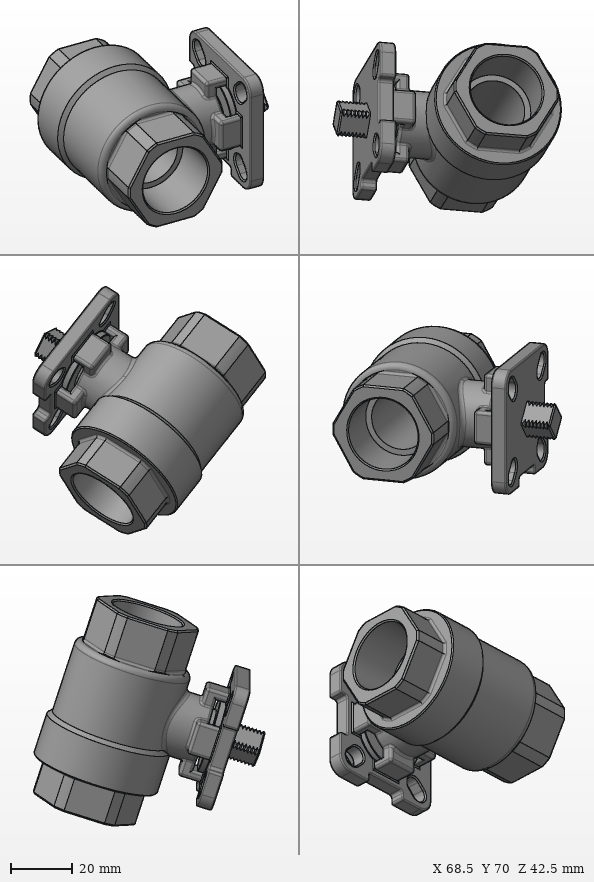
import cadquery as cq
import math


left_end = -36.4
right_end = 32.1
collar_left = -24.0
collar_right = -9.95
collar_radius = 42.5 / 2
body_right = 17.15
body_radius = 19.8
body_edge_round = 2.1
collar_edge_chamfer = 0.4

hex_across_flats = 32.1
hex_corner_radius = 17.5
hex_end_chamfer = 0.55
hex_root_fillet = 0.9

bore_radius = 10.0
socket_radius = 12.05
socket_depth = 17.5
socket_chamfer = 0.5

neck_radius = 11.0
neck_top = 29.75
neck_root_fillet = 1.55
neck_edge_round = 0.9
gland_radius = 8.0
disc_radius = 13.0
disc_bottom = 31.2
disc_edge_chamfer = 0.2
disc_root_flare = 0.2

plate_side = 42.15
plate_bottom = 33.6
plate_top = 38.8
plate_corner_radius = 5.05
plate_edge_round = 0.5
slot_centre = 14.2
slot_width = 6.0
slot_travel = 3.0
slot_edge_chamfer = 0.5
notch_half_width = 7.6
notch_depth = 3.35
notch_inner_round = 1.05
notch_outer_round = 0.85

arm_reach = 15.5
arm_start = 6.8
arm_inner = 12.3
arm_width = 11.3
arm_bottom = 25.6
arm_edge_round = 1.05
arm_root_flare = 0.4
arm_neck_fillet = 0.9

overall_height = 70.0
stem_top = overall_height - collar_radius
stem_radius = 6.0
stem_across_flats = 9.0
stem_chamfer = 0.5
thread_pitch = 1.25
thread_depth = 0.8

overlap = 0.7
tolerance = 0.01


def cylinder_x(radius, x_start, x_end):
    axis = cq.Vector(1, 0, 0)
    return cq.Workplane(cq.Solid.makeCylinder(radius, x_end - x_start, cq.Vector(x_start, 0, 0), axis))


def cylinder_y(radius, y_start, y_end):
    axis = cq.Vector(0, 1, 0)
    return cq.Workplane(cq.Solid.makeCylinder(radius, y_end - y_start, cq.Vector(0, y_start, 0), axis))


def block(x_range, y_range, z_range):
    size = [high - low for low, high in (x_range, y_range, z_range)]
    corner = (x_range[0], y_range[0], z_range[0])
    return cq.Workplane().box(*size, centered=False).translate(corner)


def hex_end(x_start, x_end, chamfered_face):
    """Hexagon with flats facing +Z and -Z and its corners turned down to a cylinder."""
    length = x_end - x_start
    hexagon = (
        cq.Workplane("YZ", origin=(x_start, 0, 0))
        .polygon(6, hex_across_flats / math.cos(math.pi / 6))
        .extrude(length)
    )
    turned = hexagon.intersect(cylinder_x(hex_corner_radius, x_start, x_end))
    return turned.faces(chamfered_face).chamfer(hex_end_chamfer)


def fillet_at_plane(part, x, half_size, radius):
    """Fillet the edges that lie in the plane at x, within half_size of the pipe axis."""
    selector = cq.selectors.BoxSelector(
        (x - tolerance, -half_size, -half_size), (x + tolerance, half_size, half_size), boundingbox=True
    )
    return part.edges(selector).fillet(radius)


def main_body():
    barrel = cylinder_x(body_radius, collar_right - overlap, body_right)
    barrel = barrel.union(hex_end(body_right - overlap, right_end, ">X"))
    barrel = fillet_at_plane(barrel, body_right, hex_corner_radius + tolerance, hex_root_fillet)
    face_radius = body_radius - body_edge_round
    arc_mid = body_edge_round * math.sqrt(0.5)
    round_start = body_right - body_edge_round
    trim_end = body_right + hex_root_fillet
    trim = (
        cq.Workplane("XY")
        .moveTo(round_start, body_radius)
        .threePointArc((round_start + arc_mid, face_radius + arc_mid), (body_right, face_radius))
        .lineTo(trim_end, face_radius)
        .lineTo(trim_end, collar_radius)
        .lineTo(round_start, collar_radius)
        .close()
        .revolve(360, (0, 0, 0), (1, 0, 0))
    )
    return barrel.cut(trim)


def collar():
    step = collar_radius - body_radius
    ring = cylinder_x(collar_radius, collar_left, collar_right)
    ring = ring.faces("<X").chamfer(collar_edge_chamfer)
    cone = cq.Workplane(
        cq.Solid.makeCone(collar_radius, body_radius, step, cq.Vector(collar_right, 0, 0), cq.Vector(1, 0, 0))
    )
    ring = ring.union(cone).union(hex_end(left_end, collar_left + overlap, "<X"))
    return fillet_at_plane(ring, collar_left, hex_corner_radius + tolerance, hex_root_fillet)


def arm():
    """Arm on the +X side: a foot on the neck and a post up to the plate, one L in outline."""
    half = arm_width / 2
    solid = block((arm_start, arm_reach), (arm_bottom, plate_bottom), (-half, half))
    solid = solid.edges("|Y and >X").fillet(arm_edge_round)
    solid = solid.faces("<Y").edges("not <X").fillet(arm_edge_round)
    window = block((0, arm_inner), (neck_top, plate_bottom), (-half, half))
    return solid.cut(window)


def lies_on_neck(point):
    return abs(math.hypot(point.x, point.z) - neck_radius) < tolerance


def neck():
    """Neck with its four arms, blended where they meet."""
    solid = cylinder_y(neck_radius, 0, neck_top)
    for quarter in range(4):
        solid = solid.union(arm().rotate((0, 0, 0), (0, 1, 0), 90 * quarter))
    joints = []
    for edge in solid.edges().vals():
        box = edge.BoundingBox()
        below_top = box.ymin > arm_bottom - tolerance and edge.Center().y < neck_top - tolerance
        if below_top and lies_on_neck(edge.startPoint()) and lies_on_neck(edge.endPoint()):
            joints.append(edge)
    solid = solid.newObject(joints).fillet(arm_neck_fillet)

    rim = []
    for edge in solid.edges().vals():
        box = edge.BoundingBox()
        spans_window = max(box.xlen, box.zlen) > arm_width - tolerance
        in_top_plane = box.ymin > neck_top - tolerance and box.ymax < neck_top + tolerance
        on_post = abs(box.ymin - neck_top) < tolerance and box.ymax > neck_top + overlap
        if on_post or (in_top_plane and not spans_window):
            rim.append(edge)
    return solid.newObject(rim).fillet(neck_edge_round)


def fillet_neck_root(part):
    """Blend the neck into the barrel."""
    edges = []
    for edge in part.edges().vals():
        start = edge.startPoint()
        on_barrel = abs(math.hypot(start.y, start.z) - body_radius) < tolerance
        if on_barrel and lies_on_neck(start):
            edges.append(edge)
    return part.newObject(edges).fillet(neck_root_fillet)


def gland():
    """Stem gland under a disc that is blended into the plate, with mitred flares above the arms."""
    disc = cylinder_y(disc_radius, disc_bottom, plate_bottom + overlap).faces("<Y").chamfer(disc_edge_chamfer)
    solid = cylinder_y(gland_radius, neck_top - overlap, disc_bottom + overlap).union(disc)
    flare = cq.Workplane("XZ", origin=(0, plate_bottom, 0))
    for x_size, z_size in ((arm_reach, arm_width / 2), (arm_width / 2, arm_reach)):
        solid = solid.union(
            flare.rect(2 * (x_size + arm_root_flare), 2 * (z_size + arm_root_flare))
            .extrude(arm_root_flare, taper=45)
        )
    return solid.union(flare.circle(disc_radius + disc_root_flare).extrude(disc_root_flare, taper=45))


def plate():
    """Rounded square plate with a notch in its -X and -Z edges and a slot near each corner."""
    solid = (
        cq.Workplane("XZ", origin=(0, plate_top, 0))
        .rect(plate_side, plate_side)
        .extrude(plate_top - plate_bottom)
        .edges("|Y")
        .fillet(plate_corner_radius)
    )
    edge = plate_side / 2
    floor = edge - notch_depth
    y_range = (plate_bottom, plate_top)
    notch_range = (-notch_half_width, notch_half_width)
    for x_range, z_range in (((-edge, -floor), notch_range), (notch_range, (-edge, -floor))):
        solid = solid.cut(block(x_range, y_range, z_range))
    inner_corners = []
    outer_corners = []
    for corner in solid.edges("|Y").vals():
        depth, along = sorted((corner.Center().x, corner.Center().z))
        if abs(depth + floor) < tolerance:
            inner_corners.append(corner)
        elif abs(depth + edge) < tolerance and abs(along) < notch_half_width + tolerance:
            outer_corners.append(corner)
    solid = solid.newObject(inner_corners).fillet(notch_inner_round)
    solid = solid.newObject(outer_corners).fillet(notch_outer_round)
    solid = solid.faces("<Y or >Y").fillet(plate_edge_round)
    for x in (-1, 1):
        for z in (-1, 1):
            solid = solid.cut(slot(x, z))
    return solid


def slot(x, z):
    """Slot pointing at the stem axis, with both rims chamfered."""
    angle = math.degrees(math.atan2(z, x))
    middle = slot_centre * math.sqrt(2)

    def profile(y, width):
        return (
            cq.Workplane("XZ", origin=(0, y, 0))
            .center(middle, 0)
            .slot2D(slot_travel + width, width)
        )

    thickness = plate_top - plate_bottom
    rim_width = slot_width + 2 * slot_edge_chamfer
    tool = profile(plate_top, slot_width).extrude(thickness)
    lower = profile(plate_bottom, rim_width).extrude(-slot_edge_chamfer, taper=45)
    upper = profile(plate_top, rim_width).extrude(slot_edge_chamfer, taper=45)
    return tool.union(lower).union(upper).rotate((0, 0, 0), (0, 1, 0), -angle)


def stem():
    """Square stem with corners on the X and Z axes, threaded where it reaches the full diameter."""
    rod = cylinder_y(stem_radius, plate_top - overlap, stem_top).faces(">Y").chamfer(stem_chamfer)
    half_groove = thread_pitch / 2
    y = stem_top - thread_pitch
    while y > plate_top:
        groove = (
            cq.Workplane("XY")
            .moveTo(stem_radius, y - half_groove)
            .lineTo(stem_radius - thread_depth, y)
            .lineTo(stem_radius, y + half_groove)
            .close()
            .revolve(360, (0, 0, 0), (0, 1, 0))
        )
        rod = rod.cut(groove)
        y -= thread_pitch
    square = (
        cq.Workplane("XZ", origin=(0, stem_top, 0))
        .transformed(rotate=(0, 0, 45))
        .rect(stem_across_flats, stem_across_flats)
        .extrude(stem_top - plate_top + overlap)
        .faces(">Y")
        .chamfer(stem_chamfer)
    )
    return rod.intersect(square)


def passage():
    tool = cylinder_x(bore_radius, left_end, right_end)
    for end, inward in ((left_end, 1), (right_end, -1)):
        axis = cq.Vector(inward, 0, 0)
        mouth = cq.Vector(end, 0, 0)
        socket = cq.Solid.makeCylinder(socket_radius, socket_depth, mouth, axis)
        mouth_radius = socket_radius + socket_chamfer
        mouth_cone = cq.Solid.makeCone(mouth_radius, socket_radius, socket_chamfer, mouth, axis)
        tool = tool.union(cq.Workplane(socket)).union(cq.Workplane(mouth_cone))
    return tool


result = main_body().union(neck())
result = fillet_neck_root(result)
result = result.union(collar())
result = result.union(plate()).union(gland()).union(stem())
result = result.cut(passage())